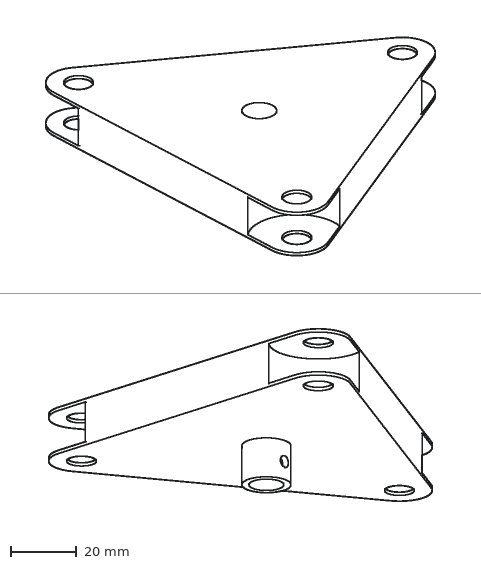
import cadquery as cq
import math

overall_width = 120.4
corner_radius = 10.0
hole_spacing = overall_width - 2 * corner_radius
corner_hole_diameter = 9.0
plate_thickness = 1.1

total_thickness = 14.9
corner_clearance_radius = 15.0

hub_diameter = 14.9
hub_length = 12.5
bore_diameter = 10.6
cross_hole_diameter = 3.6
cross_hole_angle = 27
cross_hole_depth_below_plates = 6.7

hole_circle_radius = hole_spacing / math.sqrt(3)
corner_points = [
    (
        hole_circle_radius * math.cos(math.radians(angle)),
        hole_circle_radius * math.sin(math.radians(angle)),
    )
    for angle in (90, 210, 330)
]


def rounded_triangle(thickness):
    """Equilateral triangle offset outward so its corners are round."""
    return cq.Workplane("XY").polyline(corner_points).close().offset2D(corner_radius).extrude(thickness)


def corner_cylinders(radius, base, height):
    """Upright cylinders centred on the three corner holes."""
    return cq.Workplane("XY", origin=(0, 0, base)).pushPoints(corner_points).circle(radius).extrude(height)


def hub():
    """Round boss hanging below the plates."""
    return cq.Workplane("XY").circle(hub_diameter / 2).extrude(-hub_length)


def bore():
    """Central bore through the plates and the hub."""
    return (
        cq.Workplane("XY", origin=(0, 0, -hub_length))
        .circle(bore_diameter / 2)
        .extrude(hub_length + total_thickness)
    )


def cross_hole():
    """Small radial hole through one wall of the hub into the bore."""
    return (
        cq.Workplane("XZ", origin=(0, 0, -cross_hole_depth_below_plates))
        .circle(cross_hole_diameter / 2)
        .extrude(hub_diameter / 2)
        .rotate((0, 0, 0), (0, 0, 1), -cross_hole_angle)
    )


core_height = total_thickness - 2 * plate_thickness

result = (
    rounded_triangle(total_thickness)
    .cut(corner_cylinders(corner_clearance_radius, plate_thickness, core_height))
    .cut(corner_cylinders(corner_hole_diameter / 2, 0, total_thickness))
    .union(hub())
    .cut(bore())
    .cut(cross_hole())
)